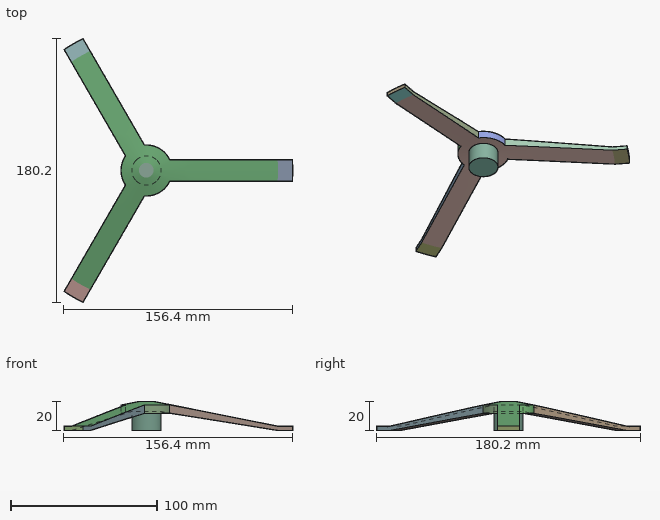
import cadquery as cq

ARM_COUNT = 3
ARM_WIDTH = 15.0
TIP_RADIUS = 100.0
PAD_RADIUS = 90.0
PAD_THICKNESS = 3.0

HUB_RADIUS = 17.5
CROWN_RADIUS = 5.0
HEIGHT = 20.0

BOSS_DIAMETER = 20.0
HUB_UNDERSIDE = 13.0


def canopy():
    """Disc of revolution whose sloped top and underside give the arms their droop."""
    profile = (
        cq.Workplane("XZ")
        .moveTo(0, HUB_UNDERSIDE)
        .lineTo(BOSS_DIAMETER / 2, HUB_UNDERSIDE)
        .lineTo(PAD_RADIUS, 0)
        .lineTo(TIP_RADIUS, 0)
        .lineTo(TIP_RADIUS, PAD_THICKNESS)
        .lineTo(PAD_RADIUS, PAD_THICKNESS)
        .lineTo(CROWN_RADIUS, HEIGHT)
        .lineTo(0, HEIGHT)
        .close()
    )
    return profile.revolve(360, (0, 0, 0), (0, 1, 0))


def star():
    """Upright prism with the plan shape: round hub and evenly spaced straight arms."""
    shape = cq.Workplane("XY").circle(HUB_RADIUS).extrude(HEIGHT)
    arm = cq.Workplane("XY").box(TIP_RADIUS, ARM_WIDTH, HEIGHT, centered=(False, True, False))
    for index in range(ARM_COUNT):
        shape = shape.union(arm.rotate((0, 0, 0), (0, 0, 1), index * 360 / ARM_COUNT))
    return shape


def boss():
    """Round post under the hub, reaching down to the level of the pads."""
    return cq.Workplane("XY").circle(BOSS_DIAMETER / 2).extrude(HUB_UNDERSIDE)


result = canopy().intersect(star()).union(boss())